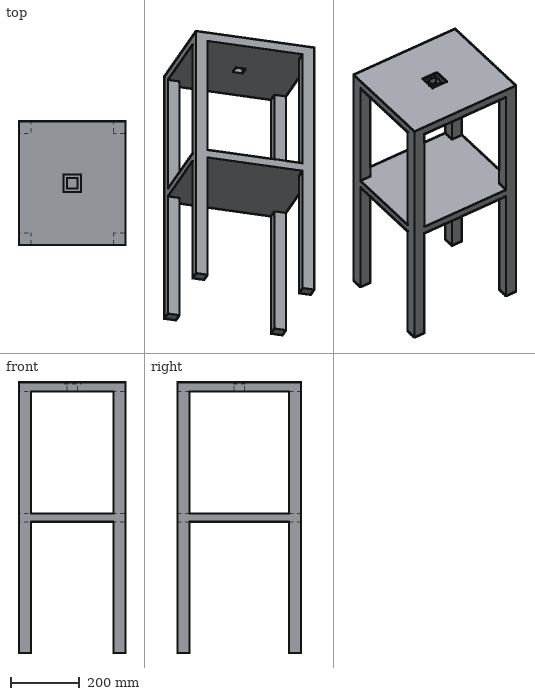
import cadquery as cq

width = 310.0
depth = 360.0
height = 787.5

leg_side = 35.5
top_thickness = 27.5
shelf_thickness = 25.0
shelf_top = 406.0

recess_side = 50.5
recess_depth = 5.0
hole_side = 30.0


def board(thickness, upper_face):
    """Full-size horizontal board whose upper face is at the given height."""
    return (
        cq.Workplane("XY")
        .workplane(offset=upper_face - thickness)
        .rect(width, depth)
        .extrude(thickness)
    )


def legs():
    """Four square legs, flush with the outer corners of the boards."""
    return (
        cq.Workplane("XY")
        .rect(width - leg_side, depth - leg_side, forConstruction=True)
        .vertices()
        .rect(leg_side, leg_side)
        .extrude(height)
    )


def square_cutter(side, cut_depth):
    """Centered square prism reaching down from the top face."""
    return (
        cq.Workplane("XY")
        .workplane(offset=height)
        .rect(side, side)
        .extrude(-cut_depth)
    )


top = board(top_thickness, height)
shelf = board(shelf_thickness, shelf_top)
stand = legs().union(top).union(shelf)

result = stand.cut(square_cutter(recess_side, recess_depth)).cut(square_cutter(hole_side, top_thickness))